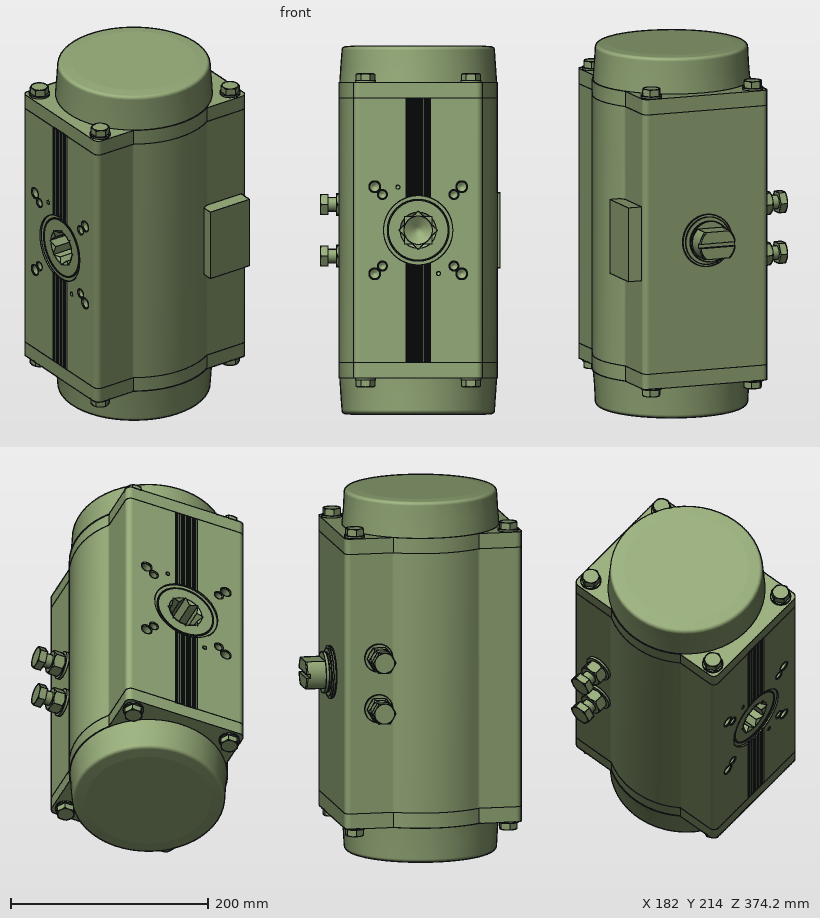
import cadquery as cq
import math


TOTAL_LENGTH = 374.2
HOUSING_LENGTH = 268.3
FLANGE_THICKNESS = 15.7
HALF_HOUSING = HOUSING_LENGTH / 2
FLANGE_TOP = HALF_HOUSING + FLANGE_THICKNESS
CAP_TOP = TOTAL_LENGTH / 2

FACE_Y = 92.0
BACK_HALF_WIDTH = 68.5
FRONT_HALF_WIDTH = 65.5
CORNER_RADIUS = 6.0
BARREL_RADIUS = 80.5
VALLEY_RADIUS = 5.0

DOME_BASE_RADIUS = 79.7
DOME_SHOULDER_RADIUS = 77.5
DOME_FLAT_RADIUS = 63.2
DOME_EDGE_ROUND = 3.7
DOME_FALL = 0.7

BACK_SCREW_X = 55.8
BACK_SCREW_Y = 80.0
FRONT_SCREW_X = 53.5
FRONT_SCREW_Y = 79.7
SCREW_WASHER_DIAMETER = 20.5
SCREW_WASHER_THICKNESS = 2.0
SCREW_HEAD_FLATS = 16.5
SCREW_HEAD_HEIGHT = 7.0
SCREW_HEAD_BEVEL = 0.7
SCREW_POSITIONS = [
    (-BACK_SCREW_X, BACK_SCREW_Y),
    (BACK_SCREW_X, BACK_SCREW_Y),
    (-FRONT_SCREW_X, -FRONT_SCREW_Y),
    (FRONT_SCREW_X, -FRONT_SCREW_Y),
]

SERRATION_COUNT = 12
SERRATION_PITCH = 2.05
SERRATION_DEPTH = 0.7
RECESS_RADIUS = 35.0
RECESS_DEPTH = 2.0
LARGE_MOUNT_OFFSET = 44.0
SMALL_MOUNT_OFFSET = 36.3
LARGE_MOUNT_DIAMETER = 10.0
LARGE_MOUNT_MOUTH = 12.0
SMALL_MOUNT_DIAMETER = 8.2
SMALL_MOUNT_MOUTH = 10.0
MOUNT_DEPTH = 18.7
MARK_DIAMETER = 4.0
MARK_DEPTH = 3.7
MARK_X = 20.5
MARK_Z = 43.8
DRILL_POINT_ANGLE = 118.0

PAD_OUTER_X = 83.0
PAD_LOW_Y = 36.3
PAD_HIGH_Y = 85.0
PAD_LENGTH = 76.5

SHAFT_HEAD_RADIUS = 31.5
SHAFT_HEAD_LENGTH = 45.0
SHAFT_HEAD_CHAMFER = 1.0
STEM_DIAMETER = 42.0
SHAFT_TIP_Y = 122.0
SHAFT_RINGS = [
    (52.5, 93.0),
    (54.0, 95.0),
    (49.0, 96.5),
    (40.5, 98.0),
    (41.0, 98.8),
    (42.0, 101.8),
]
TIP_DIAMETER = 39.3
TIP_FLAT_WIDTH = 28.0
TIP_CHAMFER = 1.0
SLOT_WIDTH = 4.5
SLOT_DEPTH = 3.7
STAR_FLATS = 27.7
STAR_DEPTH = 30.0
SOCKET_MOUTH_RADIUS = 18.5
SOCKET_CHAMFER_DEPTH = 2.5
PILOT_DIAMETER = 29.0
PILOT_DEPTH = 33.5

BOLT_Y = 58.0
BOLT_Z = 26.2
BOLT_END_X = -99.0
BOLT_HEAD_LENGTH = 8.0
BOLT_HEAD_FLATS = 20.5
BOLT_HEAD_BEVEL = 0.55
BOLT_SHANK_DIAMETER = 14.2
BOLT_DEPTH_IN_HOUSING = 15.0
NUT_OUTER_X = -83.0
NUT_FLATS = 22.0
NUT_BEVEL = 1.5
NUT_WASHER_DIAMETER = 29.0
NUT_WASHER_THICKNESS = 2.5


def disc(plane, diameter, length):
    """Disc that stands on the plane and extends along its normal."""
    return cq.Workplane(plane).circle(diameter / 2).extrude(length)


def bevelled_hexagon(plane, flats, length, bevel, bevelled_faces):
    """Hexagon prism with two corners on the plane's local X axis and bevelled corners on the chosen faces.

    The bevel runs for the given length along the axis and ends on the circle inside the flats.
    """
    corners = flats / math.cos(math.pi / 6)
    prism = cq.Workplane(plane).polygon(6, corners).extrude(length)
    limit = disc(plane, corners, length).faces(bevelled_faces).chamfer(bevel, (corners - flats) / 2)
    return prism.intersect(limit)


def section_block(length):
    """Barrel with the squared, round-cornered flanks in front and behind, centred on Z = 0."""

    def flank(half_width, y_direction):
        return (
            cq.Workplane("XY")
            .rect(2 * half_width, 2 * FACE_Y)
            .extrude(length / 2, both=True)
            .edges("|Z")
            .fillet(CORNER_RADIUS)
            .intersect(
                cq.Workplane("XY")
                .center(0, y_direction * FACE_Y)
                .rect(4 * half_width, 2 * FACE_Y)
                .extrude(length / 2, both=True)
            )
        )

    barrel = cq.Workplane("XY").circle(BARREL_RADIUS).extrude(length / 2, both=True)
    return barrel.union(flank(BACK_HALF_WIDTH, 1)).union(flank(FRONT_HALF_WIDTH, -1))


def front_plane(depth=0.0, x=0.0, z=0.0):
    """Plane on the front face whose normal points into the housing (+Y)."""
    return cq.Plane(origin=(x, -FACE_Y + depth, z), xDir=(1, 0, 0), normal=(0, 1, 0))


def drilled_hole(plane, diameter, depth):
    """Cutter for a drilled hole along the plane's normal, with a conical bottom."""
    radius = diameter / 2
    point_length = radius / math.tan(math.radians(DRILL_POINT_ANGLE / 2))
    tip = cq.Solid.makeCone(radius, 0, point_length, plane.origin + plane.zDir * depth, plane.zDir)
    return disc(plane, diameter, depth).union(cq.Workplane(tip))


def mouth_cone(plane, outer_radius, inner_radius, depth):
    """Cutter for a conical mouth that narrows along the plane's normal."""
    cone = cq.Solid.makeCone(outer_radius, inner_radius, depth, plane.origin, plane.zDir)
    return cq.Workplane(cone)


def tapped_hole(x, z, diameter, mouth):
    """Cutter for a front mounting hole with a 45 degree chamfer at its mouth."""
    plane = front_plane(x=x, z=z)
    chamfer = mouth_cone(plane, mouth / 2, diameter / 2, (mouth - diameter) / 2)
    return drilled_hole(plane, diameter, MOUNT_DEPTH).union(chamfer)


def side_plane(x, z):
    """Plane across a stop bolt axis, with its normal along +X and its local X along Y."""
    return cq.Plane(origin=(x, BOLT_Y, z), xDir=(0, 1, 0), normal=(1, 0, 0))


def serrations():
    """Cutter for the vertical V-grooves down the middle of the front face."""
    half_width = SERRATION_COUNT * SERRATION_PITCH / 2
    outline = cq.Workplane("XY").moveTo(-half_width, -FACE_Y)
    for index in range(SERRATION_COUNT):
        left = -half_width + index * SERRATION_PITCH
        outline = outline.lineTo(left + SERRATION_PITCH / 2, -FACE_Y + SERRATION_DEPTH)
        outline = outline.lineTo(left + SERRATION_PITCH, -FACE_Y)
    outer_y = -FACE_Y - SERRATION_DEPTH
    outline = outline.lineTo(half_width, outer_y).lineTo(-half_width, outer_y).close()
    return outline.extrude(HALF_HOUSING, both=True)


def blend_valleys(block):
    """Round the four concave edges where the flat sides run into the barrel."""
    for half_width, direction in ((BACK_HALF_WIDTH, 1), (FRONT_HALF_WIDTH, -1)):
        valley_y = direction * math.sqrt(BARREL_RADIUS**2 - half_width**2)
        for x in (-half_width, half_width):
            valley = cq.selectors.NearestToPointSelector((x, valley_y, 0))
            block = block.edges("|Z").edges(valley).fillet(VALLEY_RADIUS)
    return block


def make_housing():
    housing = blend_valleys(section_block(HOUSING_LENGTH))
    pad_width = PAD_HIGH_Y - PAD_LOW_Y
    pad = cq.Workplane("XY").box(PAD_OUTER_X, pad_width, PAD_LENGTH, centered=(False, False, True))
    housing = housing.union(pad.translate((0, PAD_LOW_Y, 0)))

    housing = housing.cut(serrations())
    housing = housing.cut(disc(front_plane(), 2 * RECESS_RADIUS, RECESS_DEPTH))
    for x_side in (-1, 1):
        for z_side in (-1, 1):
            for offset, diameter, mouth in (
                (LARGE_MOUNT_OFFSET, LARGE_MOUNT_DIAMETER, LARGE_MOUNT_MOUTH),
                (SMALL_MOUNT_OFFSET, SMALL_MOUNT_DIAMETER, SMALL_MOUNT_MOUTH),
            ):
                housing = housing.cut(tapped_hole(x_side * offset, z_side * offset, diameter, mouth))
    for side in (-1, 1):
        mark = front_plane(x=side * MARK_X, z=-side * MARK_Z)
        housing = housing.cut(drilled_hole(mark, MARK_DIAMETER, MARK_DEPTH))

    housing = housing.cut(shaft_core())
    for z in (-BOLT_Z, BOLT_Z):
        bolt_plane = side_plane(-BACK_HALF_WIDTH, z)
        housing = housing.cut(disc(bolt_plane, BOLT_SHANK_DIAMETER, BOLT_DEPTH_IN_HOUSING))
    return housing


def make_cap(end):
    """End cap with its flange, dome and four screw heads; `end` is 1 for +Z and -1 for -Z."""
    flange_middle = HALF_HOUSING + FLANGE_THICKNESS / 2
    flange = section_block(FLANGE_THICKNESS).translate((0, 0, flange_middle))

    round_top = CAP_TOP - DOME_FALL
    round_centre_x = DOME_SHOULDER_RADIUS - DOME_EDGE_ROUND
    round_centre_z = round_top - DOME_EDGE_ROUND
    mid_offset = DOME_EDGE_ROUND * math.sqrt(0.5)
    dome = (
        cq.Workplane("XZ")
        .moveTo(0, HALF_HOUSING)
        .lineTo(DOME_BASE_RADIUS, HALF_HOUSING)
        .lineTo(DOME_BASE_RADIUS, FLANGE_TOP)
        .lineTo(DOME_SHOULDER_RADIUS, round_centre_z)
        .threePointArc(
            (round_centre_x + mid_offset, round_centre_z + mid_offset),
            (round_centre_x, round_top),
        )
        .lineTo(DOME_FLAT_RADIUS, CAP_TOP)
        .lineTo(0, CAP_TOP)
        .close()
        .revolve(360, (0, 0, 0), (0, 1, 0))
    )
    cap = flange.union(dome)
    for x, y in SCREW_POSITIONS:
        cap = cap.union(screw_head().translate((x, y, FLANGE_TOP)))
    return cap if end > 0 else cap.mirror("XY")


def screw_head():
    """Hexagon head on its washer, standing on Z = 0."""
    height = SCREW_WASHER_THICKNESS + SCREW_HEAD_HEIGHT
    washer = disc("XY", SCREW_WASHER_DIAMETER, SCREW_WASHER_THICKNESS)
    head = bevelled_hexagon("XY", SCREW_HEAD_FLATS, height, SCREW_HEAD_BEVEL, ">Z")
    return washer.union(head)


def shaft_core():
    """Stepped cylinder of the shaft inside the housing, also the cutter for its bore."""
    head = disc(front_plane(RECESS_DEPTH), 2 * SHAFT_HEAD_RADIUS, SHAFT_HEAD_LENGTH)
    stem = disc(front_plane(RECESS_DEPTH), STEM_DIAMETER, 2 * FACE_Y - RECESS_DEPTH)
    return head.union(stem)


def socket():
    """Cutter for the eight-pointed star socket with its chamfered mouth and drilled pilot."""
    plane = front_plane(RECESS_DEPTH)
    cutter = drilled_hole(plane, PILOT_DIAMETER, PILOT_DEPTH)
    for angle in (0, 45):
        square = cq.Workplane(plane).rect(STAR_FLATS, STAR_FLATS).extrude(STAR_DEPTH)
        cutter = cutter.union(square.rotate((0, 0, 0), (0, 1, 0), angle))
    notch_radius = STAR_FLATS / 2 / math.cos(math.pi / 8)
    return cutter.union(mouth_cone(plane, SOCKET_MOUTH_RADIUS, notch_radius, SOCKET_CHAMFER_DEPTH))


def make_shaft():
    shaft = shaft_core().faces("<Y").edges().chamfer(SHAFT_HEAD_CHAMFER)
    inner_y = FACE_Y
    for diameter, outer_y in SHAFT_RINGS:
        shaft = shaft.union(disc(front_plane(FACE_Y + inner_y), diameter, outer_y - inner_y))
        inner_y = outer_y

    tip_length = SHAFT_TIP_Y - inner_y
    tip = disc(front_plane(FACE_Y + inner_y), TIP_DIAMETER, tip_length).faces(">Y").chamfer(TIP_CHAMFER)
    flats = cq.Workplane("XY").box(TIP_DIAMETER, 2 * SHAFT_TIP_Y, TIP_FLAT_WIDTH)
    slot = cq.Workplane("XY").box(TIP_DIAMETER, 2 * SLOT_DEPTH, SLOT_WIDTH).translate((0, SHAFT_TIP_Y, 0))
    shaft = shaft.union(tip.intersect(flats).cut(slot))
    return shaft.cut(socket())


def make_stop_bolt(z):
    """Hexagon-headed stop bolt whose shank ends in a blind hole in the housing."""
    plane = side_plane(BOLT_END_X, z)
    head = bevelled_hexagon(plane, BOLT_HEAD_FLATS, BOLT_HEAD_LENGTH, BOLT_HEAD_BEVEL, "<X")
    shank_length = BOLT_DEPTH_IN_HOUSING - BACK_HALF_WIDTH - BOLT_END_X
    return head.union(disc(plane, BOLT_SHANK_DIAMETER, shank_length))


def make_lock_nut(z):
    """Nut with bevelled ends and a washer flange that rests on the housing."""
    plane = side_plane(NUT_OUTER_X, z)
    length = -BACK_HALF_WIDTH - NUT_OUTER_X
    nut = bevelled_hexagon(plane, NUT_FLATS, length - NUT_WASHER_THICKNESS, NUT_BEVEL, "<X or >X")
    washer_plane = side_plane(-BACK_HALF_WIDTH - NUT_WASHER_THICKNESS, z)
    nut = nut.union(disc(washer_plane, NUT_WASHER_DIAMETER, NUT_WASHER_THICKNESS))
    return nut.cut(disc(plane, BOLT_SHANK_DIAMETER, length))


housing = make_housing()
caps = [make_cap(end) for end in (-1, 1)]
shaft = make_shaft()
stop_bolts = [make_stop_bolt(z) for z in (-BOLT_Z, BOLT_Z)]
lock_nuts = [make_lock_nut(z) for z in (-BOLT_Z, BOLT_Z)]

bodies = [housing, shaft, *caps, *stop_bolts, *lock_nuts]
result = cq.Compound.makeCompound([body.val() for body in bodies])